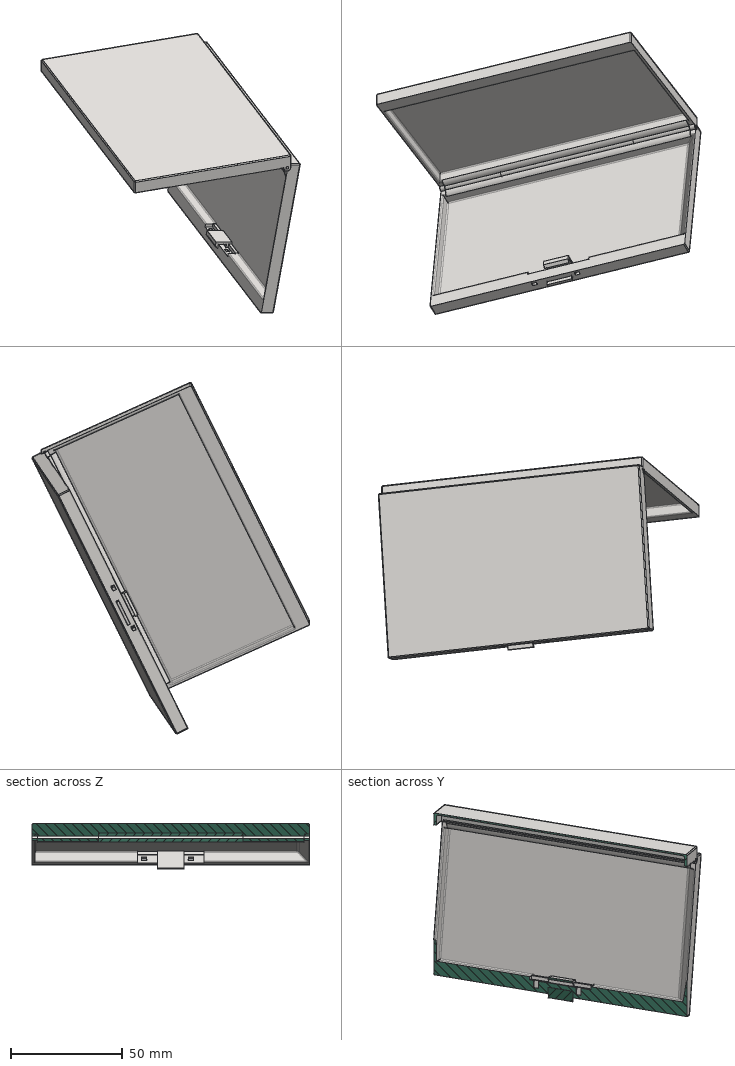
import cadquery as cq

WIDTH = 125.0
LENGTH = 75.0
LID_THICKNESS = 5.9
BASE_THICKNESS = 6.0
HINGE_INSET = 2.0
RIM_GAP = 0.19
EDGE_CHAMFER = 0.5
OPEN_ANGLE = 80.0

BACK = -HINGE_INSET
FRONT = LENGTH - HINGE_INSET
RIM = -RIM_GAP

SIDE_WALL = 1.5
FLOOR_THICKNESS = 1.0
POCKET_DEPTH = BASE_THICKNESS - FLOOR_THICKNESS
BACK_MARGIN = 6.5
FRONT_MARGIN = 6.9
RAMP_RUN = 4.6
RAMP_RIM = 0.5
FLOOR_FILLET = 0.5
RAMP_FILLET = 1.8
RIM_FILLET = 0.5
EDGE_MARGIN = 0.1
POCKET_BACK = BACK + BACK_MARGIN
POCKET_FRONT = FRONT - FRONT_MARGIN
BASE_FLOOR = RIM - POCKET_DEPTH
LID_FLOOR = RIM - LID_THICKNESS + FLOOR_THICKNESS

BORE_RADIUS = 0.6
KNUCKLE_RADIUS = 2.0
LUG_RADIUS = 1.6
LUG_WIDTH = 2.5
MIDDLE_KNUCKLE = 65.0
KNUCKLE_SPAN = WIDTH - 2 * LUG_WIDTH
ROLL_START = KNUCKLE_RADIUS
ROLL_RISE = 0.5
ROLL_DROP = 1.2
ROLL_BULGE = 0.2

LATCH_WIDTH = 30.0
HOOK_WIDTH = 12.0
HOOK_THICKNESS = 1.1
NOTCH_DEPTH = 1.5
PLATE_OVERHANG = 0.1
PLATE_DROP = 3.5
HOOK_HEIGHT = 2.6
HOOK_LEDGE = 1.2
HOOK_TOP = 2.1
BARB_REACH = 3.2
BUTTON_THICKNESS = 1.2
BUTTON_DROP = 2.6
BUTTON_REACH = 1.9
GUIDE_HOLE_WIDTH = 2.2
GUIDE_HOLE_HEIGHT = 1.5
GUIDE_HOLE_DROP = 1.1
GUIDE_HOLE_PLACES = (-12.0, 9.0)
HOOK_BACK = POCKET_FRONT - HOOK_THICKNESS
PLATE_BACK = POCKET_FRONT - PLATE_OVERHANG
NOTCH_FRONT = POCKET_FRONT + NOTCH_DEPTH
BUTTON_TOP = -BUTTON_DROP
BUTTON_BOTTOM = BUTTON_TOP - BUTTON_THICKNESS


def box(x_min, x_max, y_min, y_max, z_min, z_max):
    return cq.Workplane("XY").box(
        x_max - x_min, y_max - y_min, z_max - z_min, centered=False
    ).translate((x_min, y_min, z_min))


def rod(radius, x_min, x_max):
    """Cylinder on the hinge axis."""
    return cq.Workplane("YZ").circle(radius).extrude(x_max - x_min).translate((x_min, 0, 0))


def outer_block(thickness):
    """Half of the box without its pocket, edges chamfered."""
    block = box(-WIDTH / 2, WIDTH / 2, BACK, FRONT, RIM - thickness, RIM)
    return block.edges("|Z").chamfer(EDGE_CHAMFER).faces("<Z").edges().chamfer(EDGE_CHAMFER)


def pocket_block(floor, right_rim, ramp_run, right_fillet):
    """Pocket volume; a ramp run above zero slopes its right wall."""
    left = -WIDTH / 2 + SIDE_WALL
    right = WIDTH / 2 - right_rim
    block = (
        cq.Workplane("XZ", origin=(0, POCKET_FRONT, 0))
        .polyline([(left, RIM), (left, floor), (right - ramp_run, floor), (right, RIM)])
        .close()
        .extrude(POCKET_FRONT - POCKET_BACK)
    )
    block = block.faces("<Z").edges(">X").fillet(right_fillet)
    return block.faces("<Z").edges("not >X").fillet(FLOOR_FILLET)


def hinge_roll():
    """Rounded lip between the knuckles and the pocket."""
    middle = ((ROLL_START + POCKET_BACK) / 2 + ROLL_BULGE, (ROLL_RISE - ROLL_DROP) / 2 + ROLL_BULGE)
    return (
        cq.Workplane("YZ", origin=(-KNUCKLE_SPAN / 2, 0, 0))
        .moveTo(0, -ROLL_DROP)
        .lineTo(ROLL_START, ROLL_RISE)
        .threePointArc(middle, (POCKET_BACK, -ROLL_DROP))
        .close()
        .extrude(KNUCKLE_SPAN)
    )


def shell(thickness, pocket):
    """Hollow half with a rounded pocket rim and hinge lip."""
    body = outer_block(thickness).cut(pocket)
    rim_edges = cq.selectors.BoxSelector(
        (-WIDTH / 2 + EDGE_MARGIN, POCKET_BACK - EDGE_MARGIN, RIM - EDGE_MARGIN),
        (WIDTH / 2 - EDGE_MARGIN, POCKET_FRONT + EDGE_MARGIN, RIM + EDGE_MARGIN),
    )
    body = body.edges(rim_edges).fillet(RIM_FILLET)
    body = body.cut(box(-KNUCKLE_SPAN / 2, KNUCKLE_SPAN / 2, 0, POCKET_BACK, -ROLL_DROP, RIM))
    return body.union(hinge_roll())


def as_lid(body):
    """Turn a half rim down, its front toward -Y."""
    return body.rotate((0, 0, 0), (1, 0, 0), 180)


def as_base(body):
    """Face a half toward the lid and swing it open about the hinge axis."""
    return body.mirror("XZ").rotate((0, 0, 0), (1, 0, 0), OPEN_ANGLE)


def lid_knuckles():
    half = WIDTH / 2
    left_lug = rod(LUG_RADIUS, -half, -half + LUG_WIDTH)
    right_lug = rod(LUG_RADIUS, half - LUG_WIDTH, half)
    middle = rod(KNUCKLE_RADIUS, -MIDDLE_KNUCKLE / 2, MIDDLE_KNUCKLE / 2)
    return left_lug.union(right_lug).union(middle)


def base_knuckles():
    left = rod(KNUCKLE_RADIUS, -KNUCKLE_SPAN / 2, -MIDDLE_KNUCKLE / 2)
    right = rod(KNUCKLE_RADIUS, MIDDLE_KNUCKLE / 2, KNUCKLE_SPAN / 2)
    return left.union(right)


def bore():
    return rod(BORE_RADIUS, -WIDTH / 2, WIDTH / 2)


def make_lid():
    pocket = pocket_block(LID_FLOOR, SIDE_WALL, 0, FLOOR_FILLET)
    body = as_lid(shell(LID_THICKNESS, pocket))
    return body.union(lid_knuckles()).cut(base_knuckles()).cut(bore())


def make_latch():
    """Plate, hook and push button in one piece."""
    plate = box(-LATCH_WIDTH / 2, LATCH_WIDTH / 2, PLATE_BACK, NOTCH_FRONT, BASE_FLOOR, RIM - PLATE_DROP)
    hook = (
        cq.Workplane("YZ", origin=(-HOOK_WIDTH / 2, 0, 0))
        .polyline([
            (HOOK_BACK, BASE_FLOOR),
            (HOOK_BACK, HOOK_HEIGHT),
            (HOOK_BACK + HOOK_TOP, HOOK_HEIGHT),
            (HOOK_BACK + BARB_REACH, HOOK_LEDGE),
            (POCKET_FRONT, HOOK_LEDGE),
            (POCKET_FRONT, BASE_FLOOR),
        ])
        .close()
        .extrude(HOOK_WIDTH)
    )
    button = box(
        -HOOK_WIDTH / 2, HOOK_WIDTH / 2, POCKET_FRONT, FRONT + BUTTON_REACH, BUTTON_BOTTOM, BUTTON_TOP
    )
    return plate.union(hook).union(button)


def latch_notch():
    """Recess in the front wall that holds the latch plate."""
    return box(-LATCH_WIDTH / 2, LATCH_WIDTH / 2, HOOK_BACK, NOTCH_FRONT, BASE_FLOOR, 0)


def guide_hole(x):
    """Opening from the front face to the latch plate."""
    half = GUIDE_HOLE_WIDTH / 2
    top = RIM - GUIDE_HOLE_DROP
    return box(x - half, x + half, NOTCH_FRONT, FRONT, top - GUIDE_HOLE_HEIGHT, top)


def make_base(closed_latch):
    pocket = pocket_block(BASE_FLOOR, RAMP_RIM, RAMP_RUN, RAMP_FILLET)
    body = shell(BASE_THICKNESS, pocket).cut(latch_notch()).cut(closed_latch)
    for x in GUIDE_HOLE_PLACES:
        body = body.cut(guide_hole(x))
    body = as_base(body).cut(as_lid(outer_block(LID_THICKNESS)))
    return body.cut(lid_knuckles()).union(base_knuckles()).cut(bore())


closed_latch = make_latch()
lid = make_lid()
base = make_base(closed_latch)
latch = as_base(closed_latch)

result = cq.Compound.makeCompound([lid.val(), base.val(), latch.val()])